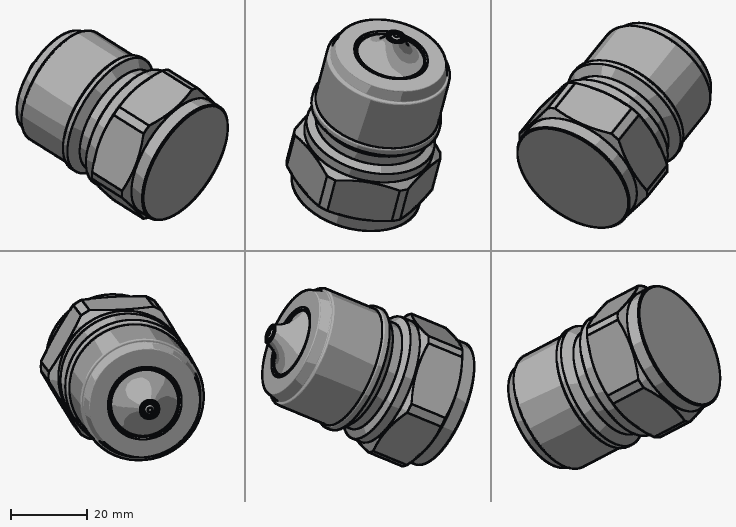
import cadquery as cq
import math

tip_seat_x = 0.55
front_face_x = 6.75
taper_end_x = 9.6
barrel_wall_x = 9.85
barrel_start_x = 10.35
collar_start_x = 24.75
collar_end_x = 26.6
neck_start_x = 28.95
neck_end_x = 31.8
shoulder_x = 33.0
hex_start_x = 35.85
hex_end_x = 48.75
length = 52.7

taper_start_radius = 14.8
front_edge_rounding = 0.3
taper_end_radius = 15.55
barrel_radius = 16.5
collar_radius = 17.25
neck_radius = 14.95
collar_rounding = 0.6
rear_body_radius = 17.2
end_chamfer = 0.25

recess_radius = 9.85
recess_depth = 0.3
recess_floor_radius = 9.3
nose_base_radius = 8.95
nose_middle_x = 4.65
nose_middle_radius = 4.95
nose_tip_radius = 2.6
pin_groove_radius = 2.0
pin_groove_depth = 0.25
pin_radius = 1.5
pin_end_radius = 0.65

across_flats = 35.0
corner_radius = 19.5
hex_chamfer = 1.25


def rounded_corner(start_x, start_radius, end_x, end_radius):
    """Middle point of a quarter round from a radial to an axial tangent."""
    bulge = math.sqrt(0.5)
    middle_x = end_x - (end_x - start_x) * bulge
    middle_radius = start_radius + (end_radius - start_radius) * bulge
    return middle_x, middle_radius


def hollow_corner(start_x, start_radius, end_x, end_radius):
    """Middle point of a quarter hollow from an axial to a radial tangent."""
    bulge = math.sqrt(0.5)
    middle_x = start_x + (end_x - start_x) * bulge
    middle_radius = end_radius - (end_radius - start_radius) * bulge
    return middle_x, middle_radius


def revolve_about_x(profile):
    return profile.close().revolve(360, (0, 0, 0), (1, 0, 0))


def make_turned_body():
    recess_floor_x = front_face_x + recess_depth
    pin_groove_floor_x = tip_seat_x + pin_groove_depth
    rounding_end_x = collar_start_x + collar_rounding
    front_edge_radius = taper_start_radius - front_edge_rounding
    taper_start_x = front_face_x + front_edge_rounding
    wall_start_radius = taper_end_radius + barrel_wall_x - taper_end_x
    wall_end_radius = barrel_radius - (barrel_start_x - barrel_wall_x)
    rounding_start_radius = collar_radius - collar_rounding
    profile = (
        cq.Workplane("XY")
        .moveTo(0, 0)
        .lineTo(0, pin_end_radius)
        .lineTo(tip_seat_x, pin_radius)
        .lineTo(pin_groove_floor_x, pin_radius)
        .lineTo(pin_groove_floor_x, pin_groove_radius)
        .lineTo(tip_seat_x, pin_groove_radius)
        .lineTo(tip_seat_x, nose_tip_radius)
        .threePointArc((nose_middle_x, nose_middle_radius), (recess_floor_x, nose_base_radius))
        .lineTo(recess_floor_x, recess_floor_radius)
        .lineTo(front_face_x, recess_radius)
        .lineTo(front_face_x, front_edge_radius)
        .threePointArc(
            rounded_corner(front_face_x, front_edge_radius, taper_start_x, taper_start_radius),
            (taper_start_x, taper_start_radius),
        )
        .lineTo(taper_end_x, taper_end_radius)
        .threePointArc(
            hollow_corner(taper_end_x, taper_end_radius, barrel_wall_x, wall_start_radius),
            (barrel_wall_x, wall_start_radius),
        )
        .lineTo(barrel_wall_x, wall_end_radius)
        .threePointArc(
            rounded_corner(barrel_wall_x, wall_end_radius, barrel_start_x, barrel_radius),
            (barrel_start_x, barrel_radius),
        )
        .lineTo(collar_start_x, barrel_radius)
        .lineTo(collar_start_x, rounding_start_radius)
        .threePointArc(
            rounded_corner(collar_start_x, rounding_start_radius, rounding_end_x, collar_radius),
            (rounding_end_x, collar_radius),
        )
        .lineTo(collar_end_x, collar_radius)
        .lineTo(neck_start_x, neck_radius)
        .lineTo(neck_end_x, neck_radius)
        .lineTo(shoulder_x, rear_body_radius)
        .lineTo(length - end_chamfer, rear_body_radius)
        .lineTo(length, rear_body_radius - end_chamfer)
        .lineTo(length, 0)
    )
    return revolve_about_x(profile)


def make_hexagon():
    """Hexagon with flats at +Z and -Z, trimmed by a chamfered cylinder."""
    across_corners = across_flats / math.cos(math.pi / 6)
    prism = (
        cq.Workplane("YZ")
        .workplane(offset=hex_start_x)
        .polygon(6, across_corners)
        .extrude(hex_end_x - hex_start_x)
    )
    envelope = revolve_about_x(
        cq.Workplane("XY")
        .moveTo(hex_start_x, 0)
        .lineTo(hex_start_x, rear_body_radius)
        .lineTo(hex_start_x + hex_chamfer, corner_radius)
        .lineTo(hex_end_x - hex_chamfer, corner_radius)
        .lineTo(hex_end_x, rear_body_radius)
        .lineTo(hex_end_x, 0)
    )
    return prism.intersect(envelope)


result = make_turned_body().union(make_hexagon())